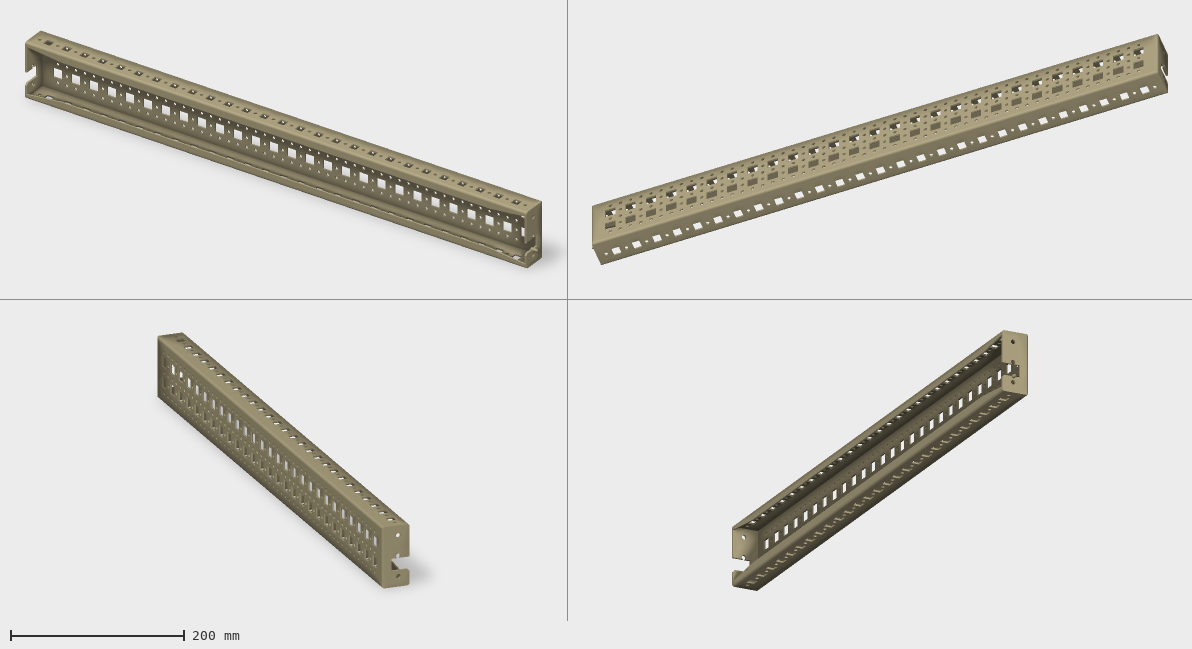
import cadquery as cq

length = 697.0
depth = 34.0
height = 75.0
sheet = 2.0

front_bend = 3.0
web_bend = 3.0

lip_height = 11.0
lip_end_height = 5.8
lip_taper_length = 48.0

pitch = 25.0
half_pitch = pitch / 2
square_count = 27
web_square = 12.5
flange_square = 9.6
round_hole = 4.2
side_hole_row = 14.0

end_sheet = 2.5
end_hole = 5.5
notch_bottom = 20.0
notch_top = 35.0
notch_depth = 22.5
mouth_chamfer = 2.5

pin_diameter = 4.2
pin_tip_diameter = 1.5
pin_length = 6.29
pin_shank = 3.5
pin_height = 19.5

mid_x = length / 2
mid_z = height / 2
square_xs = [mid_x + pitch * (i - (square_count - 1) / 2) for i in range(square_count)]
between_xs = [x + half_pitch for x in square_xs[:-1]]
all_xs = square_xs + between_xs
flange_hole_xs = [square_xs[0] - half_pitch] + between_xs + [square_xs[-1] + half_pitch]


def make_shell():
    """Tray closed on five sides and open at the front, with rounded bends."""
    outer = cq.Workplane("XY").box(length, depth, height, centered=False)
    outer = outer.edges("|X and <Y").fillet(front_bend)
    outer = outer.faces(">Y").edges().fillet(web_bend)
    inner = (
        cq.Workplane("XY")
        .box(length - 2 * end_sheet, depth - 2 * sheet, height - 2 * sheet, centered=False)
        .translate((end_sheet, sheet, sheet))
        .edges("|X and <Y").fillet(front_bend - sheet)
    )
    return outer.cut(inner)


def make_front_opening():
    """Front opening between the two lips, narrower away from the ends."""
    taper_end = end_sheet + lip_taper_length
    upper_half = [
        (length - end_sheet, height - lip_end_height),
        (length - taper_end, height - lip_height),
        (taper_end, height - lip_height),
        (end_sheet, height - lip_end_height),
    ]
    lower_half = [(x, height - z) for x, z in reversed(upper_half)]
    return cq.Workplane("XZ").polyline(upper_half + lower_half).close().extrude(-sheet)


def web_plane():
    return cq.Workplane("XZ", origin=(0, depth - sheet, 0))


def make_web_holes():
    """Two rows of squares with round holes between them and in rows above, between and below."""
    square_points = [(x, mid_z + side * half_pitch) for x in square_xs for side in (-1, 1)]
    round_points = [(x, mid_z + row * half_pitch) for x in between_xs for row in (-1, 1)]
    round_points += [(x, mid_z + row * half_pitch) for x in all_xs for row in (-2, 0, 2)]
    squares = web_plane().pushPoints(square_points).rect(web_square, web_square).extrude(-sheet)
    rounds = web_plane().pushPoints(round_points).circle(round_hole / 2).extrude(-sheet)
    return squares, rounds


def make_flange_holes():
    """One row of alternating squares and round holes through both flanges."""
    square_points = [(x, side_hole_row) for x in square_xs]
    round_points = [(x, side_hole_row) for x in flange_hole_xs]
    squares = cq.Workplane("XY").pushPoints(square_points).rect(flange_square, flange_square)
    rounds = cq.Workplane("XY").pushPoints(round_points).circle(round_hole / 2)
    return squares.extrude(height), rounds.extrude(height)


def make_end_cutouts():
    """Round holes and a notch, open to the front, through both end plates."""
    hole_points = [(side_hole_row, mid_z + row * pitch) for row in (-1, 0, 1)]
    holes = cq.Workplane("YZ").pushPoints(hole_points).circle(end_hole / 2).extrude(length)
    notch = (
        cq.Workplane("YZ")
        .polyline([
            (0, notch_bottom - mouth_chamfer),
            (mouth_chamfer, notch_bottom),
            (notch_depth, notch_bottom),
            (notch_depth, notch_top),
            (0, notch_top),
        ])
        .close()
        .extrude(length)
    )
    return holes, notch


def make_pin():
    """Pin with a conical point, standing out from the +X end plate."""
    return (
        cq.Workplane("XY", origin=(length - end_sheet, side_hole_row, pin_height))
        .polyline([
            (0, 0),
            (0, pin_diameter / 2),
            (end_sheet + pin_shank, pin_diameter / 2),
            (end_sheet + pin_length, pin_tip_diameter / 2),
            (end_sheet + pin_length, 0),
        ])
        .close()
        .revolve(360, (0, 0, 0), (1, 0, 0))
    )


result = make_shell().cut(make_front_opening())
for cutout in (*make_web_holes(), *make_flange_holes(), *make_end_cutouts()):
    result = result.cut(cutout)
result = result.union(make_pin())